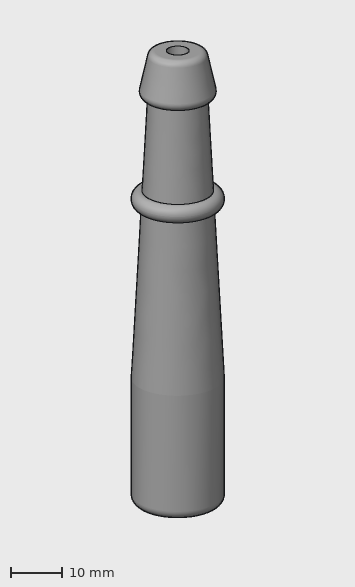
import cadquery as cq

length = 96.1
handle_radius = 9.1
handle_height = 26.5
handle_edge_fillet = 1.8
bore_radius = 2.2

shank_top_radius = 6.0

barb_height = 10.0
barb_top_radius = 5.7
barb_base_radius = 7.9
barb_edge_fillet = 1.4
barb_base = length - barb_height

collar_center_height = 64.6
collar_section_radius = 1.8
collar_ring_radius = handle_radius - collar_section_radius


def make_handle():
    handle = cq.Workplane("XY").circle(handle_radius).extrude(handle_height)
    return handle.faces("<Z").edges().fillet(handle_edge_fillet)


def make_frustum(bottom, top, bottom_radius, top_radius):
    """Cone section between two heights, centred on Z."""
    outline = [(0, bottom), (bottom_radius, bottom), (top_radius, top), (0, top)]
    return cq.Workplane("XZ").polyline(outline).close().revolve(360, (0, 0), (0, 1))


def make_barb():
    barb = make_frustum(barb_base, length, barb_base_radius, barb_top_radius)
    return barb.faces("<Z or >Z").edges().fillet(barb_edge_fillet)


def make_collar():
    section = (
        cq.Workplane("XZ")
        .center(collar_ring_radius, collar_center_height)
        .circle(collar_section_radius)
    )
    return section.revolve(360, (-collar_ring_radius, 0), (-collar_ring_radius, 1))


shank = make_frustum(handle_height, barb_base, handle_radius, shank_top_radius)
bore = cq.Workplane("XY").circle(bore_radius).extrude(length)

result = make_handle().union(shank).union(make_collar()).union(make_barb()).cut(bore)